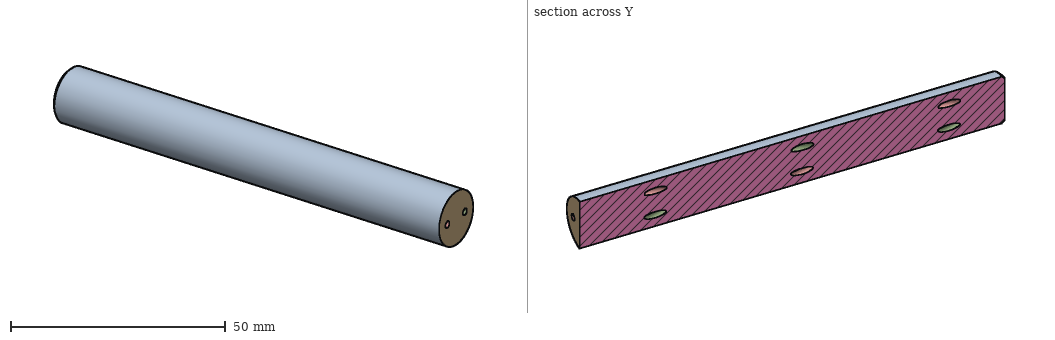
import cadquery as cq
import math

length = 110.0
diameter = 14.0
chamfer = 0.8

hole_diameter = 1.6
hole_y = 3.3
hole_z = 1.3
helix_angle = 30.0
helix_pitch = math.pi * diameter / math.tan(math.radians(helix_angle))
twist = 360.0 * length / helix_pitch


def make_bar():
    bar = cq.Workplane("YZ").circle(diameter / 2).extrude(length)
    return bar.faces("<X").edges().chamfer(chamfer)


def make_spiral_holes():
    centers = [(hole_y, hole_z), (-hole_y, -hole_z)]
    profiles = cq.Workplane("YZ").pushPoints(centers).circle(hole_diameter / 2)
    return profiles.twistExtrude(length, twist)


result = make_bar().cut(make_spiral_holes())